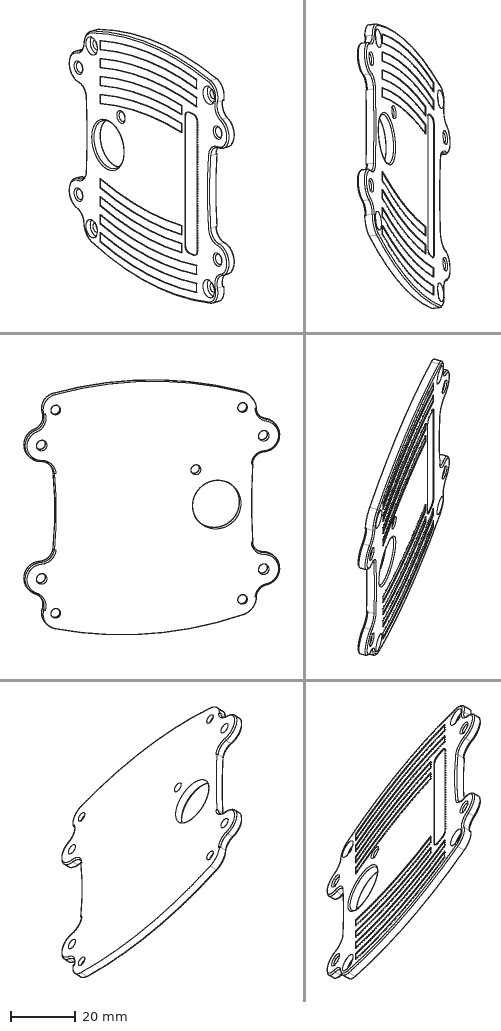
import cadquery as cq
import math

thickness = 3.0
edge_chamfer = 0.5
front_y = -thickness / 2

bow_radius = 118.0
bow_apex_x = 4.7
bow_apex_z = 40.2

tab_x = 35.37
tab_z = 21.2
tab_radius = 5.2

left_corner_x, left_corner_radius = -28.8, 6.0
right_corner_x, right_corner_radius = 31.2, 4.8

left_upper_blend, left_lower_blend = 4.0, 3.8
right_upper_blend, right_lower_blend = 4.0, 4.3

left_side_x, left_side_radius = -31.55, 220.0
right_side_x, right_side_radius = 30.7, 120.0

tab_hole_diameter = 3.3
pin_hole_x, pin_hole_z, pin_hole_diameter = -13.75, 11.35, 3.1
window_x, window_diameter = -20.4, 15.4
rim_angle = 90
screw_diameter = 3.0
screw_head_diameter = 5.8
screw_head_depth = 1.7
left_screw_x, left_screw_z = -28.64, 30.5
right_screw_x, right_screw_z = 30.9, 32.3

groove_depth = 0.3
groove_height = 3.0
groove_pitch = 2 * groove_height
groove_left_x = -24.5
long_groove_right_x = 24.7
short_groove_right_x = 17.0
groove_right_ends = [long_groove_right_x, long_groove_right_x, short_groove_right_x, short_groove_right_x]

recess_left_x, recess_right_x = 18.8, 25.0
recess_length = 47.0
recess_corner_radius = 2.0
recess_depth = 0.3


def toward(start, target, distance):
    """Point at the given distance from start in the direction of target."""
    length = math.dist(start, target)
    return tuple(s + (t - s) * distance / length for s, t in zip(start, target))


def bow_z(x, apex_z):
    """Height of a bowed edge at x."""
    return apex_z - bow_radius + math.sqrt(bow_radius**2 - (x - bow_apex_x) ** 2)


def arc_middle(center, radius, start, end):
    """Middle of the shorter arc from start to end."""
    chord_middle = tuple((s + e) / 2 for s, e in zip(start, end))
    return toward(center, chord_middle, radius)


def blend_center(first, first_radius, second, second_radius, outward):
    """Point at the given distances from two centers, on the side farther along outward * X."""
    span = math.dist(first, second)
    along = (span**2 + first_radius**2 - second_radius**2) / (2 * span)
    across = math.sqrt(first_radius**2 - along**2)
    base = toward(first, second, along)
    step_x = (second[0] - first[0]) / span * across
    step_z = (second[1] - first[1]) / span * across
    candidates = [(base[0] - step_z, base[1] + step_x), (base[0] + step_z, base[1] - step_x)]
    return max(candidates, key=lambda point: outward * point[0])


def side_outline(outward, corner_x, corner_radius, upper_blend, lower_blend, side_x, side_radius):
    """Upper half of one side: joints, arc middles and blend centers, from the bowed edge down."""
    bow_center = (bow_apex_x, bow_apex_z - bow_radius)
    corner_start = (corner_x, bow_z(corner_x, bow_apex_z))
    corner = toward(corner_start, bow_center, corner_radius)
    tab = (outward * tab_x, tab_z)
    side = (side_x + outward * side_radius, 0)

    upper = blend_center(corner, corner_radius + upper_blend, tab, tab_radius + upper_blend, outward)
    lower = blend_center(tab, tab_radius + lower_blend, side, side_radius - lower_blend, -outward)

    joints = [
        corner_start,
        toward(corner, upper, corner_radius),
        toward(tab, upper, tab_radius),
        toward(tab, lower, tab_radius),
        toward(side, lower, side_radius),
    ]
    arcs = [
        (corner, corner_radius),
        (upper, upper_blend),
        (tab, tab_radius),
        (lower, lower_blend),
    ]
    middles = [arc_middle(*arc, *ends) for arc, ends in zip(arcs, zip(joints, joints[1:]))]
    return {"joints": joints, "middles": middles, "upper": upper, "lower": lower}


left = side_outline(-1, left_corner_x, left_corner_radius, left_upper_blend, left_lower_blend,
                    left_side_x, left_side_radius)
right = side_outline(1, right_corner_x, right_corner_radius, right_upper_blend, right_lower_blend,
                     right_side_x, right_side_radius)


def below(points):
    """Mirror points about Z = 0."""
    return [(x, -z) for x, z in points]


def plate_blank():
    """Flat plate with the full outline and sharp edges."""
    right_half = [right["middles"], right["joints"][1:]]
    left_half = [left["middles"][::-1], left["joints"][-2::-1]]
    stations = [
        (left_half[0], left_half[1]),
        ([(bow_apex_x, bow_apex_z)], [right["joints"][0]]),
        (right_half[0], right_half[1]),
        ([(right_side_x, 0)], below(right["joints"][-1:])),
        (below(right["middles"][::-1]), below(right["joints"][-2::-1])),
        ([(bow_apex_x, -bow_apex_z)], below(left["joints"][:1])),
        (below(left["middles"]), below(left["joints"][1:])),
        ([(left_side_x, 0)], left["joints"][-1:]),
    ]
    outline = cq.Workplane("XZ", origin=(0, -front_y, 0)).moveTo(*left["joints"][-1])
    for middles, ends in stations:
        for middle, end in zip(middles, ends):
            outline = outline.threePointArc(middle, end)
    return outline.close().extrude(thickness)


def tab_zone(side, outward):
    """Block around an upper tab, ending square to the outline where the blends end."""
    reach = 2 * edge_chamfer
    outer_x = outward * (tab_x + 2 * tab_radius)
    upper, lower = side["upper"], side["lower"]
    upper_inner = toward(upper, side["joints"][1], math.dist(upper, side["joints"][1]) + reach)
    lower_inner = toward(lower, side["joints"][-1], math.dist(lower, side["joints"][-1]) + reach)
    corners = [upper, upper_inner, lower_inner, lower, (outer_x, lower[1]), (outer_x, upper[1])]
    return cq.Workplane("XZ", origin=(0, -front_y, 0)).polyline(corners).close().extrude(thickness)


def chamfered_plate():
    """Front edge chamfered all round, back edge chamfered around the tabs only."""
    blank = plate_blank()
    back_rim = blank.cut(blank.faces(">Y").chamfer(edge_chamfer))
    plate = blank.faces("<Y").chamfer(edge_chamfer)
    for side, outward in ((left, -1), (right, 1)):
        tab_rim = back_rim.intersect(tab_zone(side, outward))
        plate = plate.cut(tab_rim).cut(tab_rim.mirror("XY"))
    return plate


def front_plane():
    """Work plane on the front face, with local axes along X and Z."""
    return cq.Workplane("XZ", origin=(0, front_y, 0))


def on_front(plate):
    """Put the plate on a front work plane, ready for drilling."""
    return front_plane().add(plate.val())


def rimmed_holes(plate, points, diameter):
    """Through holes with a chamfered front rim."""
    rim_diameter = diameter + 2 * edge_chamfer
    return on_front(plate).pushPoints(points).cskHole(diameter, rim_diameter, rim_angle)


def drill(plate):
    """Tab holes, pin hole, round window and counterbored corner screw holes."""
    tab_points = [(x, z) for x in (-tab_x, tab_x) for z in (-tab_z, tab_z)]
    plate = rimmed_holes(plate, tab_points, tab_hole_diameter)
    plate = rimmed_holes(plate, [(pin_hole_x, pin_hole_z)], pin_hole_diameter)
    plate = rimmed_holes(plate, [(window_x, 0)], window_diameter)
    upper_screws = [(left_screw_x, left_screw_z), (right_screw_x, right_screw_z)]
    screw_points = upper_screws + below(upper_screws)
    return on_front(plate).pushPoints(screw_points).cboreHole(
        screw_diameter, screw_head_diameter, screw_head_depth)


def curved_groove(right_x, apex_z):
    """Groove tool between two equal arcs, one groove height apart."""
    floor_apex_z = apex_z - groove_height
    return (
        front_plane()
        .moveTo(groove_left_x, bow_z(groove_left_x, apex_z))
        .threePointArc((bow_apex_x, apex_z), (right_x, bow_z(right_x, apex_z)))
        .lineTo(right_x, bow_z(right_x, floor_apex_z))
        .threePointArc((bow_apex_x, floor_apex_z), (groove_left_x, bow_z(groove_left_x, floor_apex_z)))
        .close()
        .extrude(-groove_depth)
    )


def cut_grooves(plate):
    """Four curved grooves above the middle and their mirror images below."""
    for index, right_x in enumerate(groove_right_ends):
        groove = curved_groove(right_x, bow_apex_z - groove_height - index * groove_pitch)
        plate = plate.cut(groove).cut(groove.mirror("XY"))
    return plate


def cut_recess(plate):
    """Shallow upright recess with rounded corners."""
    recess = (
        front_plane()
        .center((recess_left_x + recess_right_x) / 2, 0)
        .rect(recess_right_x - recess_left_x, recess_length)
        .extrude(-recess_depth)
        .edges("|Y")
        .fillet(recess_corner_radius)
    )
    return plate.cut(recess)


result = cut_recess(cut_grooves(drill(chamfered_plate())))